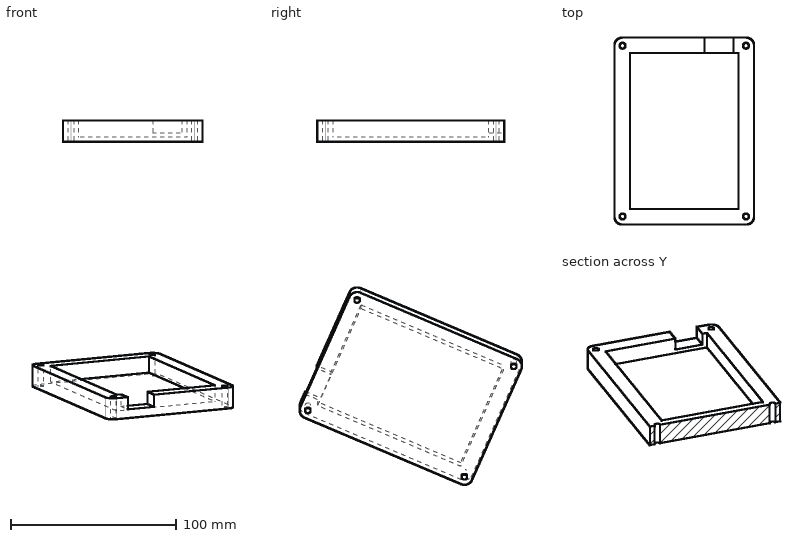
import cadquery as cq

width = 84.64
length = 113.25
height = 13.0
corner_radius = 5.0

wall = 9.5
floor_thickness = 3.0
pocket_width = width - 2 * wall
pocket_length = length - 2 * wall

notch_width = 17.5
notch_right_inset = 12.45
notch_floor = 5.5

hole_diameter = 3.4
hole_inset = corner_radius


def make_body():
    """Solid block with rounded vertical corners, standing on Z = 0."""
    block = cq.Workplane("XY").box(width, length, height, centered=(True, True, False))
    return block.edges("|Z").fillet(corner_radius)


def make_pocket():
    """Cutter for the rectangular pocket above the floor."""
    return (
        cq.Workplane("XY", origin=(0, 0, floor_thickness))
        .box(pocket_width, pocket_length, height - floor_thickness, centered=(True, True, False))
    )


def make_notch():
    """Cutter for the notch that opens the pocket through the +Y wall."""
    center_x = width / 2 - notch_right_inset - notch_width / 2
    center_y = length / 2 - wall / 2
    return (
        cq.Workplane("XY", origin=(center_x, center_y, notch_floor))
        .box(notch_width, wall, height - notch_floor, centered=(True, True, False))
    )


def make_screw_holes():
    """Cutters for the four through holes in the corners."""
    return (
        cq.Workplane("XY")
        .rect(width - 2 * hole_inset, length - 2 * hole_inset, forConstruction=True)
        .vertices()
        .circle(hole_diameter / 2)
        .extrude(height)
    )


result = make_body().cut(make_pocket()).cut(make_notch()).cut(make_screw_holes())